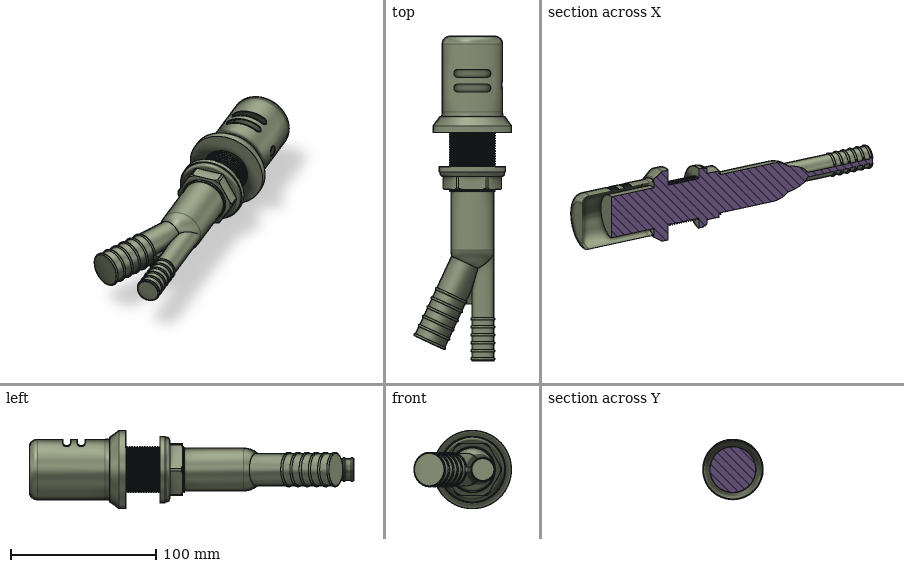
import cadquery as cq
import math


overall_length = 223.58
clearance = 1.0

stem_radius = 31.75 / 2
inner_stem_top = 43.7
flange_radius = 53.98 / 2
flange_rim_height = 4.7
flange_height = 11.2
flange_top_radius = 22.3
flange_edge_round = 1.0

cap_radius = 20.85
cap_top = 66.5
cap_wall = 0.6
cap_top_round = 5.5
cap_flare_height = 3.2
cap_flare_radius = 12.0
slot_length = 25.4
slot_width = 5.3
slot_positions = (40.8, 30.8)
vent_radius = 3.7
vent_position = 33.3

thread_pitch = 1.755
thread_depth = 0.8
thread_crest_flat = 0.25
thread_root_flat = 0.25
thread_overcut = 0.1
thread_bottom = -40.4
thread_cut_start = -42.0
thread_cut_end = 1.0

washer_top = -23.4
washer_radius = 22.9
washer_thickness = 3.6
collar_radius = 22.3
collar_thickness = 3.15
collar_round = 2.3
nut_half_flat = 17.9
nut_corner_radius = 20.2
nut_height = 8.9
nut_chamfer = 0.9

tube_radius = 14.85
dome_centre = -80.8
barb_count = 6
small_branch_radius = 7.6
small_branch_end = cap_top - overall_length
small_barb_pitch = 5.5
small_barb_offset = 1.45
large_branch_radius = 11.2
large_branch_angle = 25.0
large_branch_length = 70.25
large_barb_pitch = 7.0
large_barb_offset = 0.85
barb_height = 0.7
barb_width = 1.6
web_thickness = 3.4
web_bottom = -117.9


def disc(radius, bottom, top):
    """Cylinder on the main axis between two heights along Y."""
    return cq.Workplane("XZ", origin=(0, bottom, 0)).circle(radius).extrude(bottom - top)


def build_cap():
    """Thin hollow cap resting on the flange, with a flared foot, two slots and a side vent."""
    flare_angle = math.asin(cap_flare_height / cap_flare_radius)
    flare_end = cap_radius + cap_flare_radius * (1 - math.cos(flare_angle))
    flare_mid = cap_radius + cap_flare_radius * (1 - math.cos(flare_angle / 2))
    flare_start = flange_height + cap_flare_height
    flare_mid_height = flare_start - cap_flare_radius * math.sin(flare_angle / 2)
    shell = (
        cq.Workplane("XY")
        .moveTo(0, flange_height)
        .lineTo(flare_end, flange_height)
        .threePointArc((flare_mid, flare_mid_height), (cap_radius, flare_start))
        .lineTo(cap_radius, cap_top)
        .lineTo(0, cap_top)
        .close()
        .revolve(360, (0, 0, 0), (0, 1, 0))
        .faces(">Y")
        .edges()
        .fillet(cap_top_round)
    )
    cavity = disc(cap_radius - cap_wall, flange_height, cap_top - cap_wall)
    cavity = cavity.faces(">Y").edges().fillet(cap_top_round - cap_wall)
    slots = (
        cq.Workplane("XY")
        .pushPoints([(0, y) for y in slot_positions])
        .slot2D(slot_length, slot_width)
        .extrude(cap_radius + clearance)
    )
    vent = cq.Workplane("YZ").center(vent_position, 0).circle(vent_radius).extrude(cap_radius + clearance)
    return shell.cut(cavity).cut(slots).cut(vent)


def build_thread():
    """Externally threaded length: a helical groove cut into a plain cylinder."""
    blank = disc(stem_radius, thread_bottom, flange_height)
    helix = cq.Wire.makeHelix(
        thread_pitch,
        thread_cut_end - thread_cut_start,
        stem_radius,
        center=cq.Vector(0, thread_cut_start, 0),
        dir=cq.Vector(0, 1, 0),
    )
    start = helix.startPoint()
    radial = cq.Vector(start.x, 0, start.z)
    half_root = thread_root_flat / 2
    flank_slope = (thread_pitch - thread_crest_flat - thread_root_flat) / 2 / thread_depth
    half_mouth = half_root + flank_slope * (thread_depth + thread_overcut)
    profile = cq.Plane(origin=start, xDir=radial, normal=radial.cross(cq.Vector(0, 1, 0)))
    groove = (
        cq.Workplane(profile)
        .polyline(
            [
                (-thread_depth, half_root),
                (thread_overcut, half_mouth),
                (thread_overcut, -half_mouth),
                (-thread_depth, -half_root),
            ]
        )
        .close()
        .sweep(cq.Workplane(obj=helix), isFrenet=True)
    )
    return blank.cut(groove)


def build_flange():
    """Cylindrical rim with a conical top, rounded along both edges of the cone."""
    cone_profile = [
        (0, 0),
        (flange_radius, 0),
        (flange_radius, flange_rim_height),
        (flange_top_radius, flange_height),
        (0, flange_height),
    ]
    flange = cq.Workplane("XY").polyline(cone_profile).close().revolve(360, (0, 0, 0), (0, 1, 0))
    above_underside = cq.selectors.BoxSelector(
        (-flange_radius, flange_rim_height / 2, -flange_radius),
        (flange_radius, flange_height + clearance, flange_radius),
    )
    return flange.edges("%CIRCLE").edges(above_underside).fillet(flange_edge_round)


def build_nut():
    """Washer, round collar and hexagonal nut clamped below the sink."""
    washer_bottom = washer_top - washer_thickness
    collar_bottom = washer_bottom - collar_thickness
    nut_bottom = collar_bottom - nut_height
    washer = disc(washer_radius, washer_bottom, washer_top)
    collar = disc(collar_radius, collar_bottom, washer_bottom)
    collar = collar.faces("<Y").edges().fillet(collar_round)
    hexagon = (
        cq.Workplane("XZ", origin=(0, nut_bottom, 0))
        .polygon(6, 2 * nut_half_flat / math.cos(math.pi / 6))
        .extrude(-nut_height)
    )
    turned = disc(nut_corner_radius, nut_bottom, collar_bottom)
    turned = turned.faces("<Y").edges().chamfer(nut_chamfer)
    return washer.union(collar).union(hexagon.intersect(turned))


def build_branch(radius, length, barb_pitch, barb_offset):
    """Hose branch from the origin towards -Y, with rounded barb rings counted from its end."""
    branch = disc(radius, -length, 0)
    for index in range(barb_count):
        centre = -length + barb_offset + index * barb_pitch
        ring = (
            cq.Workplane("XY")
            .moveTo(0, centre - barb_width / 2)
            .lineTo(radius, centre - barb_width / 2)
            .threePointArc((radius + barb_height, centre), (radius, centre + barb_width / 2))
            .lineTo(0, centre + barb_width / 2)
            .close()
            .revolve(360, (0, 0, 0), (0, 1, 0))
        )
        branch = branch.union(ring)
    return branch


def build_tail():
    """Tube with a domed end, two barbed hose branches and the web that ties them together."""
    dome_mid = tube_radius * math.sin(math.pi / 4)
    tube = (
        cq.Workplane("XY")
        .moveTo(0, washer_top)
        .lineTo(tube_radius, washer_top)
        .lineTo(tube_radius, dome_centre)
        .threePointArc((dome_mid, dome_centre - dome_mid), (0, dome_centre - tube_radius))
        .close()
        .revolve(360, (0, 0, 0), (0, 1, 0))
    )
    small_x = tube_radius - small_branch_radius
    small = build_branch(
        small_branch_radius, dome_centre - small_branch_end, small_barb_pitch, small_barb_offset
    ).translate((small_x, dome_centre, 0))
    large = (
        build_branch(large_branch_radius, large_branch_length, large_barb_pitch, large_barb_offset)
        .rotate((0, 0, 0), (0, 0, 1), -large_branch_angle)
        .translate((0, dome_centre, 0))
    )
    web_left = (web_bottom - dome_centre) * math.tan(math.radians(large_branch_angle))
    web = (
        cq.Workplane("XY", origin=(0, 0, -web_thickness / 2))
        .polyline([(0, dome_centre), (web_left, web_bottom), (small_x, web_bottom), (small_x, dome_centre)])
        .close()
        .extrude(web_thickness)
    )
    return tube.union(small).union(large).union(web)


def build_body():
    """Everything below and inside the cap, as one solid."""
    inner_stem = disc(stem_radius, flange_height, inner_stem_top)
    return build_thread().union(inner_stem).union(build_flange()).union(build_nut()).union(build_tail())


cap = build_cap()
body = build_body()

result = cq.Compound.makeCompound([cap.val(), body.val()])